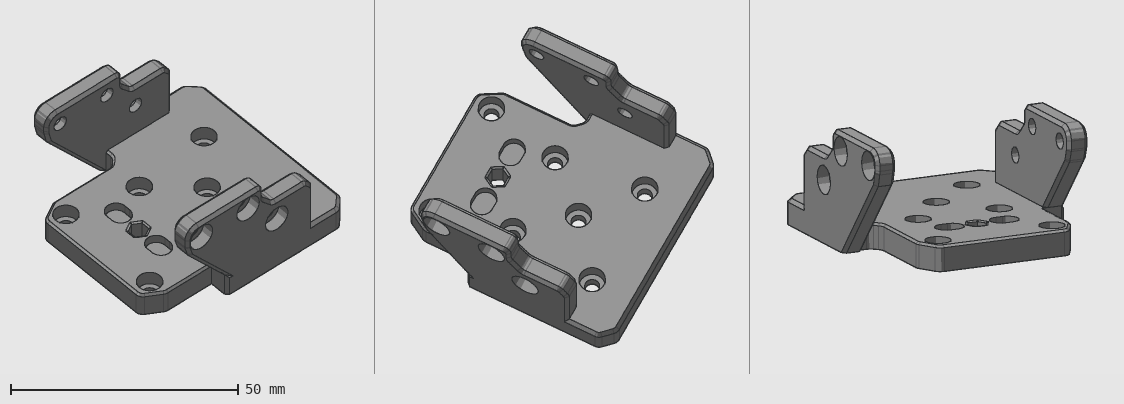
import cadquery as cq
import math

width = 52.0
length = 54.3
height = 27.2
plate_thickness = 6.0

left_x = -width / 2
right_x = width / 2
bolt_axis_x = 1.95
front_half_width = 18.9
rear_corner = 3.15
front_corner_x = 3.0
front_corner_y = 5.15
notch_y = 24.3
notch_corner = 2.0
plate_round = 2.0
plate_rear_chamfer = 0.8
plate_front_chamfer = 0.55

left_arm_thickness = 4.8
right_arm_thickness = 5.0
arm_chamfer = 0.8
arm_back_y = 43.55
shelf_z = 20.15
shelf_corner = 2.0
step_y = 29.1
step_corner = 3.0
top_corner = 1.0
nose_y = 6.85
nose_corner = 2.0
nose_round = 3.15
facet_foot_y = 7.65
slant_foot_y = 23.35
slant_angle = 50.4
arm_round = 1.5
left_facet_top_z = 22.2
left_facet_round = 3.55
right_facet_top_z = 21.7

arm_hole_places = [(32.95, 14.5), (24.6, 23.0), (10.95, 23.0)]
arm_hole_diameter = 3.6
arm_bore_diameter = 6.5
arm_bore_depth = 3.0

plate_hole_pairs = [(12.45, 43.55), (10.0, 22.55), (14.0, 4.6)]
centre_hole_y = 33.6
plate_hole_diameter = 3.3
plate_bore_diameter = 5.8
plate_bore_depth = 3.55

hex_y = 13.6
hex_across_flats = 4.0
hex_chamfer_width = 0.5
hex_chamfer_depth = 0.25
pocket_offset = 6.75
pocket_length = 6.7
pocket_width = 5.1
pocket_depth = 2.15

margin = 0.25
shortest_line = 5.43e-07

slant_slope = math.tan(math.radians(slant_angle))


def slant_y(z):
    """Y of the sloping arm edge at height z."""
    return slant_foot_y - z / slant_slope


def rounded_outline(plane, corners):
    """Closed outline through (u, v, radius) corners, each rounded by its radius."""
    stretches = []
    for i, (u, v, radius) in enumerate(corners):
        corner = cq.Vector(u, v)
        to_previous = (cq.Vector(*corners[i - 1][:2]) - corner).normalized()
        to_next = (cq.Vector(*corners[(i + 1) % len(corners)][:2]) - corner).normalized()
        half_angle = to_previous.getAngle(to_next) / 2
        setback = radius / math.tan(half_angle)
        bisector = (to_previous + to_next).normalized()
        middle = corner + bisector * (radius / math.sin(half_angle) - radius)
        stretches.append((corner + to_previous * setback, middle, corner + to_next * setback, radius))

    start = stretches[0][2]
    outline = cq.Workplane(plane).moveTo(start.x, start.y)
    for entry, middle, leave, radius in stretches[1:] + stretches[:1]:
        if (entry - start).Length > shortest_line:
            outline = outline.lineTo(entry.x, entry.y)
        if radius > 0:
            outline = outline.threePointArc((middle.x, middle.y), (leave.x, leave.y))
        start = leave
    return outline.close()


def base_plate():
    """Plate with the notch at the left and the shoulder under the right arm."""
    front_left = bolt_axis_x - front_half_width
    front_right = bolt_axis_x + front_half_width
    shoulder_y = slant_y(plate_thickness)
    left_root_x = left_x + left_arm_thickness / 2
    left_root_y = notch_y + arm_chamfer
    corners = [
        (left_x, left_root_y, 0),
        (left_root_x, left_root_y, 0),
        (left_root_x, notch_y, 0),
        (front_left - notch_corner, notch_y, plate_round),
        (front_left, notch_y - notch_corner, plate_round),
        (front_left, front_corner_y, plate_round),
        (front_left + front_corner_x, 0, plate_round),
        (front_right - front_corner_x, 0, plate_round),
        (front_right, front_corner_y, plate_round),
        (front_right, shoulder_y, 0),
        (right_x - arm_chamfer, shoulder_y, 0),
        (right_x, shoulder_y + arm_chamfer, 0),
        (right_x, length - rear_corner, plate_round),
        (right_x - rear_corner, length, plate_round),
        (left_x + rear_corner, length, plate_round),
        (left_x, length - rear_corner, plate_round),
    ]
    plate = rounded_outline("XY", corners).extrude(plate_thickness)

    rear_edges = cq.selectors.BoxSelector(
        (left_x - margin, left_root_y + margin, plate_thickness - margin),
        (right_x + margin, length + margin, plate_thickness + margin))
    front_edges = cq.selectors.BoxSelector(
        (left_root_x + margin, -margin, plate_thickness - margin),
        (front_right + margin, notch_y + margin, plate_thickness + margin))
    plate = plate.faces(">Z").edges(rear_edges).chamfer(plate_rear_chamfer)
    return plate.faces(">Z").edges(front_edges).chamfer(plate_front_chamfer)


def arm(start_x, thickness, facet_top_z, facet_round, foot_round):
    """Upright arm that occupies thickness in X from start_x, chamfered along both faces."""
    below = -plate_thickness
    facet_foot_z = (slant_foot_y - facet_foot_y) * slant_slope
    corners = [
        (slant_y(below), below, 0),
        (facet_foot_y, facet_foot_z, foot_round),
        (nose_y, facet_top_z, facet_round),
        (nose_y, height - nose_corner, nose_round),
        (nose_y + nose_corner, height, nose_round),
        (step_y - top_corner, height, arm_round),
        (step_y, height - top_corner, arm_round),
        (step_y, shelf_z + step_corner, arm_round),
        (step_y + step_corner, shelf_z, arm_round),
        (arm_back_y - shelf_corner, shelf_z, arm_round),
        (arm_back_y, shelf_z - shelf_corner, arm_round),
        (arm_back_y, below, 0),
    ]
    blank = rounded_outline("YZ", corners).extrude(thickness)
    blank = blank.faces("<X or >X").edges().chamfer(arm_chamfer).translate((start_x, 0, 0))
    keep = cq.Workplane().box(width, length, height, centered=(True, False, False))
    return blank.intersect(keep)


def bored_hole(place, inward, diameter, bore_diameter, bore_depth, through):
    """Cutter for a counterbored hole that enters at place and runs inward."""
    hole = cq.Solid.makeCylinder(diameter / 2, through, cq.Vector(*place), cq.Vector(*inward))
    bore = cq.Solid.makeCylinder(bore_diameter / 2, bore_depth, cq.Vector(*place), cq.Vector(*inward))
    return cq.Workplane(hole.fuse(bore))


part = base_plate()
part = part.union(arm(left_x, left_arm_thickness, left_facet_top_z, left_facet_round, 0))
part = part.union(arm(right_x - right_arm_thickness, right_arm_thickness,
                      right_facet_top_z, arm_round, arm_round))

for y, z in arm_hole_places:
    for outer_x, inward, thickness in (
        (left_x, 1, left_arm_thickness),
        (right_x, -1, right_arm_thickness),
    ):
        part = part.cut(bored_hole((outer_x, y, z), (inward, 0, 0), arm_hole_diameter,
                                   arm_bore_diameter, arm_bore_depth, thickness))

plate_holes = [(bolt_axis_x, centre_hole_y)]
for offset, y in plate_hole_pairs:
    plate_holes += [(bolt_axis_x - offset, y), (bolt_axis_x + offset, y)]
for x, y in plate_holes:
    part = part.cut(bored_hole((x, y, plate_thickness), (0, 0, -1), plate_hole_diameter,
                               plate_bore_diameter, plate_bore_depth, plate_thickness))

hex_corners = hex_across_flats / math.cos(math.pi / 6)
hex_taper = math.degrees(math.atan2(hex_chamfer_width, hex_chamfer_depth))
hex_hole = (
    cq.Workplane("XY").center(bolt_axis_x, hex_y)
    .polygon(6, hex_corners).extrude(plate_thickness)
)
hex_mouth = (
    cq.Workplane("XY", origin=(bolt_axis_x, hex_y, plate_thickness - hex_chamfer_depth))
    .polygon(6, hex_corners).extrude(hex_chamfer_depth, taper=-hex_taper)
)
part = part.cut(hex_hole).cut(hex_mouth)

pockets = (
    cq.Workplane("XY", origin=(bolt_axis_x, hex_y, plate_thickness))
    .pushPoints([(-pocket_offset, 0), (pocket_offset, 0)])
    .slot2D(pocket_length, pocket_width).extrude(-pocket_depth)
)
result = part.cut(pockets)